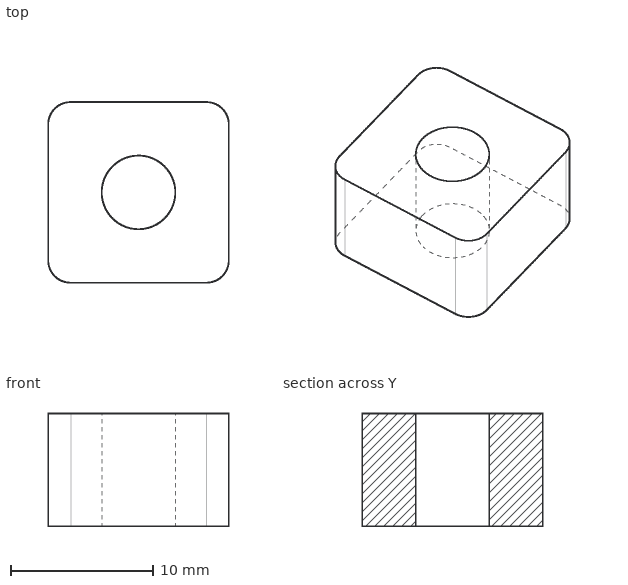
import cadquery as cq

side = 12.7
height = 7.94
corner_radius = 1.59
bore_diameter = 5.15

block = cq.Workplane("XY").box(side, side, height).edges("|Z").fillet(corner_radius)

result = block.faces(">Z").workplane().hole(bore_diameter)